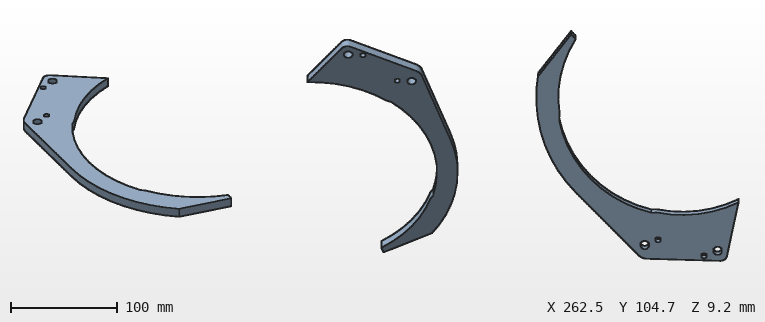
import cadquery as cq
import math

thickness = 9.2
height = 104.7
outer_radius = 137.0
side_radius = 116.3
bottom_radius = 117.5
side_arc_end_angle = 34.8
bottom_arc_end_angle = 32.5

bottom_y = -outer_radius
top_y = bottom_y + height

left_corner = (-146.5, bottom_y + 56.0)
heel_corner = (-90.8, bottom_y)
toe_angle = 52.5
toe_tip_x = 118.0
left_corner_fillet = 6.5
heel_fillet = 11.8

large_hole_diameter = 8.1
small_hole_diameter = 5.0
large_hole_centers = [(-133.5, bottom_y + 57.2), (-82.7, bottom_y + 11.3)]
small_hole_centers = [(-128.5, bottom_y + 44.4), (-87.5, bottom_y + 24.0)]


def on_circle(radius, angle):
    """Point at an angle from straight down, positive towards +X."""
    turn = math.radians(angle)
    return (radius * math.sin(turn), -radius * math.cos(turn))


def make_blank():
    """Hooked plate whose inner edge steps outward along its bottom."""
    tip_angle = math.degrees(math.acos(-top_y / side_radius))
    side_middle_angle = (tip_angle + side_arc_end_angle) / 2
    return (
        cq.Workplane("XY")
        .moveTo(*left_corner)
        .lineTo(*heel_corner)
        .lineTo(0, bottom_y)
        .threePointArc(on_circle(outer_radius, toe_angle / 2), on_circle(outer_radius, toe_angle))
        .lineTo(toe_tip_x, top_y)
        .lineTo(*on_circle(side_radius, tip_angle))
        .threePointArc(
            on_circle(side_radius, side_middle_angle),
            on_circle(side_radius, side_arc_end_angle),
        )
        .lineTo(*on_circle(bottom_radius, bottom_arc_end_angle))
        .threePointArc((0, -bottom_radius), on_circle(bottom_radius, -bottom_arc_end_angle))
        .lineTo(*on_circle(side_radius, -side_arc_end_angle))
        .threePointArc(
            on_circle(side_radius, -side_middle_angle),
            on_circle(side_radius, -tip_angle),
        )
        .close()
        .extrude(thickness)
    )


def round_corner(plate, corner, radius):
    """Fillet the upright edge nearest to a corner of the outline."""
    nearest = cq.selectors.NearestToPointSelector((*corner, thickness / 2))
    return plate.edges("|Z").edges(nearest).fillet(radius)


def drill(plate, centers, diameter):
    """Cut through holes at the given centres."""
    drills = cq.Workplane("XY").pushPoints(centers).circle(diameter / 2).extrude(thickness)
    return plate.cut(drills)


result = make_blank()
result = round_corner(result, left_corner, left_corner_fillet)
result = round_corner(result, heel_corner, heel_fillet)
result = drill(result, large_hole_centers, large_hole_diameter)
result = drill(result, small_hole_centers, small_hole_diameter)